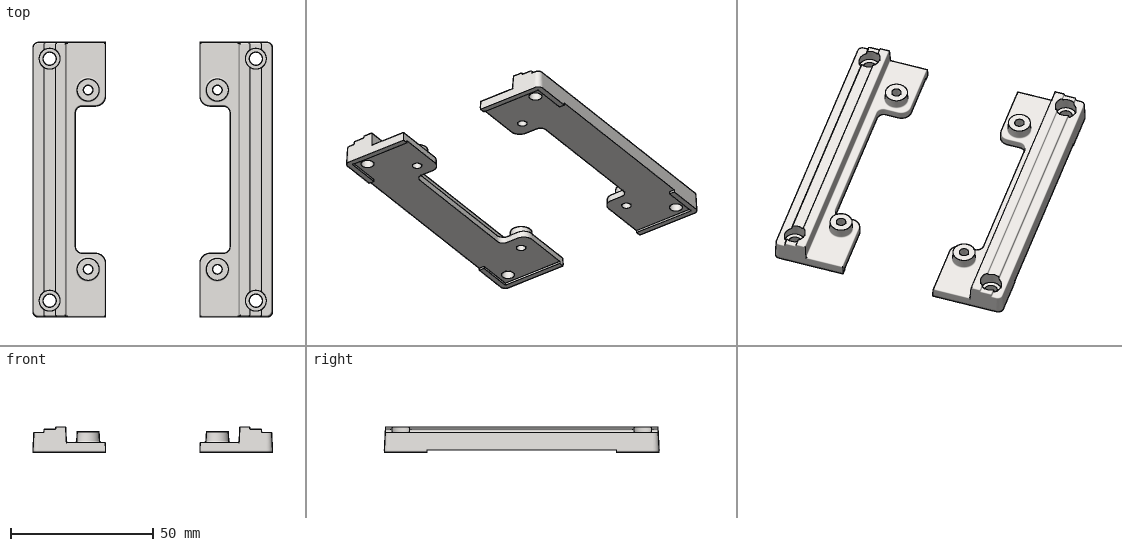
import cadquery as cq
import math

length = 96.5
overall_width = 84.1
bracket_width = 25.6
half_length = length / 2
outer_x = -overall_width / 2
inner_x = outer_x + bracket_width
draft_angle = 3.0
draft_slope = math.tan(math.radians(draft_angle))

foot_height = 0.82
plate_top = 3.6
ledge_top = 7.0
middle_top = 8.2
rail_top = 9.0

rail_width = 12.0
ledge_width = 3.9
middle_width = 4.15
corner_radius = 2.0

edge_round = 0.34
step_round = 0.34
step_root_round = 0.34
root_round = 0.3

cutout_y = half_length - 22.5
cutout_x = outer_x + 15.0
cutout_root_radius = 2.3
cutout_corner_radius = 3.7

foot_length = 15.1
foot_lip = 2.1

screw_x = outer_x + 5.9
screw_y = half_length - 5.8
screw_diameter = 4.5
counterbore_diameter = 7.3
counterbore_floor = 3.9

boss_x = outer_x + 19.4
boss_y = half_length - 16.8
boss_top = 7.3
boss_root_diameter = 8.1
boss_root_round = 0.43
boss_bore = 3.3

near = 0.1


def line_zone(x, z):
    """Selects what lies within a narrow band along Y, close to the given X and Z."""
    return cq.selectors.BoxSelector((x - near, -length, z - near), (x + near, length, z + near))


def end_zone(end):
    """Selects the top edges of the rail at one end; end is +1 or -1 along Y."""
    edge_y = sorted((end * half_length, end * (half_length - corner_radius)))
    return cq.selectors.BoxSelector(
        (outer_x, edge_y[0], ledge_top - near), (inner_x, edge_y[1], rail_top + near)
    )


def round_corner(radius):
    """Distance from a square corner to the middle of its rounding, along X or Y."""
    return radius * (1 - math.sqrt(0.5))


def drafted_slab(inner_side, height):
    """Drafted slab on the parting plane with rounded outer corners and a flat inner side."""
    corner = round_corner(corner_radius)
    return (
        cq.Workplane("XY", origin=(0, 0, foot_height))
        .moveTo(outer_x + corner_radius, -half_length)
        .lineTo(inner_side, -half_length)
        .lineTo(inner_side, half_length)
        .lineTo(outer_x + corner_radius, half_length)
        .threePointArc((outer_x + corner, half_length - corner), (outer_x, half_length - corner_radius))
        .lineTo(outer_x, -half_length + corner_radius)
        .threePointArc(
            (outer_x + corner, -half_length + corner), (outer_x + corner_radius, -half_length)
        )
        .close()
        .extrude(height, taper=draft_angle)
    )


def plate():
    """Drafted base plate with a recess in the middle of its inner side."""
    corner = round_corner(corner_radius)
    root = cutout_root_radius
    bend = cutout_corner_radius
    root_mid = round_corner(root)
    bend_mid = round_corner(bend)
    return (
        cq.Workplane("XY", origin=(0, 0, foot_height))
        .moveTo(outer_x + corner_radius, -half_length)
        .lineTo(inner_x, -half_length)
        .lineTo(inner_x, -cutout_y - bend)
        .threePointArc((inner_x - bend_mid, -cutout_y - bend_mid), (inner_x - bend, -cutout_y))
        .lineTo(cutout_x + root, -cutout_y)
        .threePointArc((cutout_x + root_mid, -cutout_y + root_mid), (cutout_x, -cutout_y + root))
        .lineTo(cutout_x, cutout_y - root)
        .threePointArc((cutout_x + root_mid, cutout_y - root_mid), (cutout_x + root, cutout_y))
        .lineTo(inner_x - bend, cutout_y)
        .threePointArc((inner_x - bend_mid, cutout_y + bend_mid), (inner_x, cutout_y + bend))
        .lineTo(inner_x, half_length)
        .lineTo(outer_x + corner_radius, half_length)
        .threePointArc((outer_x + corner, half_length - corner), (outer_x, half_length - corner_radius))
        .lineTo(outer_x, -half_length + corner_radius)
        .threePointArc(
            (outer_x + corner, -half_length + corner), (outer_x + corner_radius, -half_length)
        )
        .close()
        .extrude(plate_top - foot_height, taper=draft_angle)
        .faces(">Z")
        .edges()
        .fillet(edge_round)
    )


def rail():
    """Drafted bar along the outer side, stepped down towards the outside."""
    first_riser = outer_x + ledge_width
    second_riser = first_riser + middle_width
    steps = (
        cq.Workplane("XZ", origin=(0, half_length, 0))
        .moveTo(outer_x, ledge_top)
        .lineTo(first_riser, ledge_top)
        .lineTo(first_riser, middle_top)
        .lineTo(second_riser, middle_top)
        .lineTo(second_riser, rail_top)
        .lineTo(outer_x, rail_top)
        .close()
        .extrude(length)
    )
    bar = drafted_slab(outer_x + rail_width, rail_top - foot_height).cut(steps)
    for x, z in ((first_riser, ledge_top), (second_riser, middle_top)):
        bar = bar.edges("|Y").edges(line_zone(x, z)).fillet(step_root_round)
    for x, z in ((first_riser, middle_top), (second_riser, rail_top)):
        bar = bar.edges("|Y").edges(line_zone(x, z)).fillet(step_round)

    outer_edge_x = outer_x + (ledge_top - foot_height) * draft_slope
    ridge_x = outer_x + rail_width - (rail_top - foot_height) * draft_slope
    rim = bar.edges(line_zone(ridge_x, rail_top)).vals()
    rim += bar.edges(line_zone(outer_edge_x, ledge_top)).vals()
    for end in (1, -1):
        rim += bar.edges("not |Y").edges(end_zone(end)).vals()
    return bar.newObject(rim).fillet(edge_round)


def wall_root():
    """Concave strip that rounds the corner between the plate and the rail's inner wall."""
    wall_x = outer_x + rail_width - (plate_top - foot_height) * draft_slope
    top_x = wall_x - root_round * draft_slope
    mid = round_corner(root_round)
    flat_half_length = half_length - (plate_top - foot_height) * draft_slope - edge_round
    return (
        cq.Workplane("XZ", origin=(0, flat_half_length, 0))
        .moveTo(wall_x + root_round, plate_top)
        .threePointArc((wall_x + mid, plate_top + mid), (top_x, plate_top + root_round))
        .lineTo(wall_x - root_round, plate_top + root_round)
        .lineTo(wall_x - root_round, foot_height)
        .lineTo(wall_x + root_round, foot_height)
        .close()
        .extrude(2 * flat_half_length)
    )


def foot(end):
    """L-shaped lip under one end, drafted downwards; end is +1 or -1 along Y."""
    corner = round_corner(corner_radius)
    lip = (
        cq.Workplane("XY", origin=(0, 0, foot_height))
        .moveTo(outer_x + corner_radius, half_length)
        .lineTo(inner_x, half_length)
        .lineTo(inner_x, half_length - foot_lip)
        .lineTo(outer_x + foot_lip, half_length - foot_lip)
        .lineTo(outer_x + foot_lip, half_length - foot_length)
        .lineTo(outer_x, half_length - foot_length)
        .lineTo(outer_x, half_length - corner_radius)
        .threePointArc((outer_x + corner, half_length - corner), (outer_x + corner_radius, half_length))
        .close()
        .extrude(-foot_height, taper=draft_angle)
    )
    return lip if end > 0 else lip.mirror("XZ")


def boss(end):
    """Drafted round boss with a flared root, standing on the plate."""
    root_radius = boss_root_diameter / 2
    top_radius = root_radius - (boss_top - plate_top) * draft_slope
    mid = round_corner(boss_root_round)
    flare_radius = root_radius + boss_root_round
    return (
        cq.Workplane("XZ")
        .moveTo(0, foot_height)
        .lineTo(flare_radius, foot_height)
        .lineTo(flare_radius, plate_top)
        .threePointArc(
            (root_radius + mid, plate_top + mid), (root_radius, plate_top + boss_root_round)
        )
        .lineTo(top_radius, boss_top)
        .lineTo(0, boss_top)
        .close()
        .revolve(360, (0, 0, 0), (0, 1, 0))
        .translate((boss_x, end * boss_y, 0))
    )


def upright(x, y, bottom, top, diameter):
    """Vertical cylinder used to cut a hole."""
    return cq.Workplane("XY", origin=(x, y, bottom)).circle(diameter / 2).extrude(top - bottom)


def bracket():
    """Bracket on the -X side."""
    body = plate().union(rail()).union(wall_root())
    for end in (1, -1):
        body = body.union(foot(end)).union(boss(end))
        body = body.cut(upright(boss_x, end * boss_y, 0, boss_top, boss_bore))
        body = body.cut(upright(screw_x, end * screw_y, 0, rail_top, screw_diameter))
        body = body.cut(
            upright(screw_x, end * screw_y, counterbore_floor, rail_top, counterbore_diameter)
        )
    return body


left_bracket = bracket()
right_bracket = left_bracket.mirror("YZ")

result = cq.Compound.makeCompound([left_bracket.val(), right_bracket.val()])